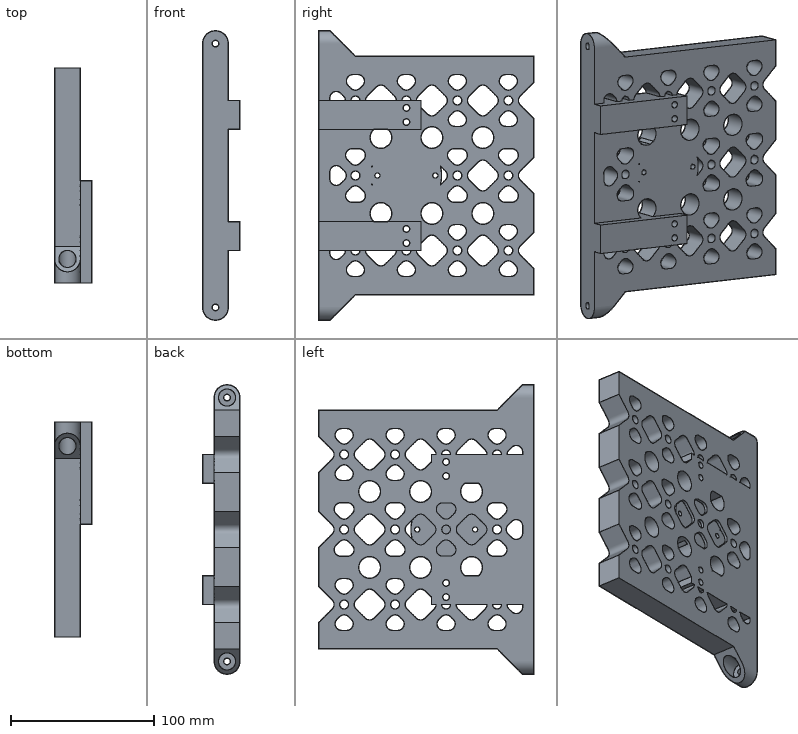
import cadquery as cq

height = 202.0
length = 150.0
thickness = 18.0
front_bar = 7.9

panel_half_height = 83.2
ear_rise = height / 2 - panel_half_height
end_radius = thickness / 2
screw_z = height / 2 - end_radius
screw_diameter = 4.5
screw_head_diameter = 12.0
screw_head_reach = 2 * ear_rise

column_pitch = (length - front_bar) / 4
row_pitch = 52.3
pin_diameter = 6.0
round_window_diameter = 15.0
round_window_z = 26.5
corner_radius = 4.5
diamond_half_diagonal = 12.5
triangle_top = 18.5
middle_triangle_half_base = 13.1
outer_triangle_half_base = 12.5
outer_triangle_top = 18.0

rail_length = 71.5
rail_width = 20.2
rail_height = 8.0
rail_top = row_pitch
rail_hole_spacing = 9.9
rail_hole_diameter = 4.5

web_y = front_bar + 1.5 * column_pitch
web_diameter = 49.3
web_recess = 2.0
web_hole_diameter = 3.5
web_hole_offset = 20.2
web_tongue_front = 31.3
web_tongue_width = 12.1


def block(x_min, x_max, y_min, y_max, z_middle, z_size):
    """Box between the given X and Y limits, centred on z_middle."""
    box = cq.Workplane("XY").box(x_max - x_min, y_max - y_min, z_size, centered=(False, False, True))
    return box.translate((x_min, y_min, z_middle))


def prism(points):
    """Through-thickness cutter with rounded corners, outline given as (y, z) points."""
    return cq.Workplane("YZ").polyline(points).close().extrude(thickness).edges("|X").fillet(corner_radius)


def cylinder(y, z, diameter, depth):
    """Round bar along X starting at the outer face."""
    return cq.Workplane("YZ").center(y, z).circle(diameter / 2).extrude(depth)


def diamond(y, z):
    d = diamond_half_diagonal
    return prism([(y - d, z), (y, z - d), (y + d, z), (y, z + d)])


def triangle(y, z, side, half_base, top):
    """Right-angled window whose point faces its row; side is +1 above the row, -1 below."""
    base_z = z + side * top
    tip_z = base_z - side * half_base
    return prism([(y - half_base, base_z), (y + half_base, base_z), (y, tip_z)])


def front_triangle(z, half_base):
    """Half diamond with its flat side along the front strip."""
    tip_y = front_bar + half_base
    return prism([(front_bar, z - half_base), (front_bar, z + half_base), (tip_y, z)])


def rear_notch(z):
    """V notch in the rear edge, drawn past the edge so that only its tip is rounded."""
    reach = 2 * diamond_half_diagonal
    tip_y = length - diamond_half_diagonal
    return prism([(tip_y, z), (tip_y + reach, z - reach), (tip_y + reach, z + reach)])


def panel_blank():
    """Round-ended bar trimmed to a panel with 45 degree flared ears."""
    bar = cq.Workplane("XZ").center(end_radius, 0).slot2D(height, thickness, 90).extrude(-length)
    flare_y = front_bar + ear_rise
    half = [
        (0, height / 2),
        (front_bar, height / 2),
        (flare_y, panel_half_height),
        (length, panel_half_height),
    ]
    mirrored = [(y, -z) for y, z in reversed(half)]
    outline = cq.Workplane("YZ").polyline(half + mirrored).close().extrude(thickness)
    return bar.intersect(outline)


def lattice_cutters():
    cutters = []
    for row in (-1, 0, 1):
        z = row * row_pitch
        half_base = outer_triangle_half_base if row else middle_triangle_half_base
        top = outer_triangle_top if row else triangle_top
        cutters.append(front_triangle(z, half_base))
        cutters.append(rear_notch(z))
        for column in (1, 2, 3):
            cutters.append(diamond(front_bar + column * column_pitch, z))
        for column in range(4):
            y = front_bar + (column + 0.5) * column_pitch
            cutters.append(cylinder(y, z, pin_diameter, thickness))
            for side in (-1, 1):
                cutters.append(triangle(y, z, side, half_base, top))
    for column in (1, 2, 3):
        for side in (-1, 1):
            y = front_bar + column * column_pitch
            cutters.append(cylinder(y, side * round_window_z, round_window_diameter, thickness))
    return cutters


result = panel_blank()
for cutter in lattice_cutters():
    result = result.cut(cutter)

web = cylinder(web_y, 0, web_diameter, thickness - web_recess).translate((web_recess, 0, 0))
tongue = block(web_recess, thickness, web_tongue_front, web_y, 0, web_tongue_width)
result = result.union(web).union(tongue)
for side in (-1, 1):
    result = result.cut(cylinder(web_y + side * web_hole_offset, 0, web_hole_diameter, thickness))

rail_middle = rail_top - rail_width / 2
rail_depth = thickness + rail_height
for side in (-1, 1):
    result = result.union(block(0, rail_depth, 0, rail_length, side * rail_middle, rail_width))
    for offset in (-rail_hole_spacing / 2, rail_hole_spacing / 2):
        z = side * (rail_middle + offset)
        result = result.cut(cylinder(web_y, z, rail_hole_diameter, rail_depth))

for side in (-1, 1):
    axis = cq.Workplane("XZ").center(end_radius, side * screw_z)
    result = result.cut(axis.circle(screw_diameter / 2).extrude(-length))
    head = axis.workplane(offset=-front_bar).circle(screw_head_diameter / 2)
    result = result.cut(head.extrude(-screw_head_reach))